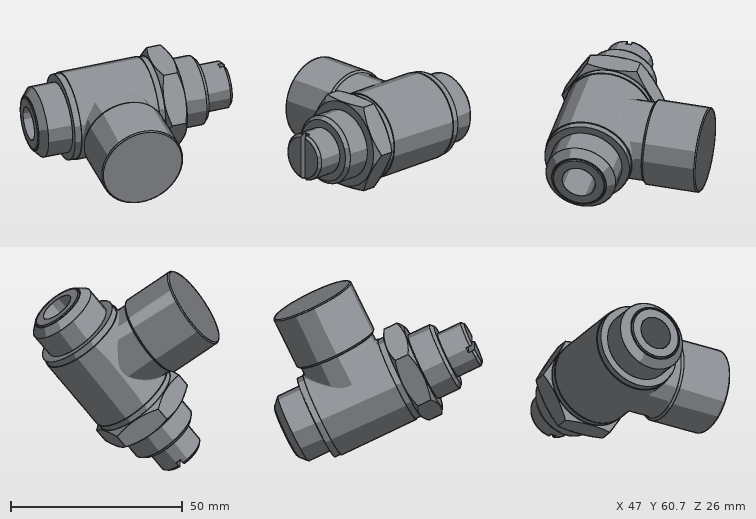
import cadquery as cq
import math

TIP_Y = -23.9
TIP_RADIUS = 10.5
TIP_CHAMFER_LENGTH = 2.4
TIP_CHAMFER_END_RADIUS = 8.25
TIP_NOSE_RADIUS = 7.9
TIP_NOSE_LENGTH = 0.3
BORE_RADIUS = 5.0
BORE_DEPTH = 24.25

BODY_DIAMETER = 26.0
BODY_RADIUS = BODY_DIAMETER / 2
BODY_HALF_LENGTH = 12.1
WASHER_RADIUS = 12.75
LOWER_WASHER_THICKNESS = 2.0
UPPER_WASHER_THICKNESS = 1.8

HEX_FLATS = BODY_DIAMETER
HEX_THICKNESS = 6.7
HEX_FACE_RADIUS = 12.85
HEX_CHAMFER_ANGLE = 30.0

SCREW_END_Y = TIP_Y + 60.7
COLLAR_RADIUS = 10.3
COLLAR_END_Y = 28.5
COLLAR_CHAMFER = 1.05
SCREW_RADIUS = 7.0
SCREW_CHAMFER = 0.8
SLOT_WIDTH = 1.6
SLOT_DEPTH = 1.95

PORT_END_X = 32.0
PORT_RADIUS = 12.5
PORT_START_X = 15.7
PORT_INNER_CHAMFER = 0.6
PORT_OUTER_CHAMFER = 0.35
NECK_RADIUS = 11.5
NECK_FILLET = 0.35
PORT_FILLET = 0.3
SELECTION_MARGIN = 0.05

HEX_START_Y = BODY_HALF_LENGTH + UPPER_WASHER_THICKNESS
HEX_END_Y = HEX_START_Y + HEX_THICKNESS


def cylinder_y(radius, start, end):
    """Cylinder on the body axis between two Y positions."""
    return cq.Workplane("XZ", origin=(0, start, 0)).circle(radius).extrude(start - end)


def cylinder_x(radius, start, end):
    """Cylinder on the port axis between two X positions."""
    return cq.Workplane("YZ", origin=(start, 0, 0)).circle(radius).extrude(end - start)


def revolve_y(profile):
    """Solid of revolution about Y from (radius, y) points."""
    return cq.Workplane("XY").polyline(profile).close().revolve(360, (0, 0, 0), (0, 1, 0))


def make_body():
    """Banjo barrel blended into the neck of the side port."""
    barrel = cylinder_y(BODY_RADIUS, -BODY_HALF_LENGTH, BODY_HALF_LENGTH)
    body = barrel.union(cylinder_x(NECK_RADIUS, 0, PORT_START_X + PORT_INNER_CHAMFER))
    reach = NECK_RADIUS + SELECTION_MARGIN
    seam = cq.selectors.BoxSelector(
        (0, -reach, -reach),
        (PORT_START_X - SELECTION_MARGIN, reach, reach),
        boundingbox=True,
    )
    body = body.edges(seam).edges("not %LINE").fillet(NECK_FILLET)
    port = cylinder_x(PORT_RADIUS, PORT_START_X, PORT_END_X)
    port = port.faces("<X").chamfer(PORT_INNER_CHAMFER)
    port = port.faces(">X").chamfer(PORT_OUTER_CHAMFER)
    body = body.union(port)
    shoulder_edge = cq.selectors.BoxSelector(
        (PORT_START_X - SELECTION_MARGIN, -reach, -reach),
        (PORT_START_X + SELECTION_MARGIN, reach, reach),
        boundingbox=True,
    )
    return body.edges(shoulder_edge).fillet(PORT_FILLET)


def make_tip():
    """Cartridge tip with a long chamfer and a small bevelled nose."""
    nose_y = TIP_Y + TIP_NOSE_LENGTH
    chamfer_y = TIP_Y + TIP_CHAMFER_LENGTH
    return revolve_y([
        (0, TIP_Y),
        (TIP_NOSE_RADIUS - TIP_NOSE_LENGTH, TIP_Y),
        (TIP_NOSE_RADIUS, nose_y),
        (TIP_CHAMFER_END_RADIUS, nose_y),
        (TIP_RADIUS, chamfer_y),
        (TIP_RADIUS, 0),
        (0, 0),
    ])


def make_hex():
    """Hexagonal nut with its corners along X, chamfered conically on both faces."""
    corner_radius = HEX_FLATS / math.sqrt(3)
    drop = (corner_radius - HEX_FACE_RADIUS) * math.tan(math.radians(HEX_CHAMFER_ANGLE))
    prism = (
        cq.Workplane("XZ", origin=(0, HEX_START_Y, 0))
        .polygon(6, 2 * corner_radius)
        .extrude(-HEX_THICKNESS)
    )
    envelope = revolve_y([
        (0, HEX_START_Y),
        (HEX_FACE_RADIUS, HEX_START_Y),
        (corner_radius, HEX_START_Y + drop),
        (corner_radius, HEX_END_Y - drop),
        (HEX_FACE_RADIUS, HEX_END_Y),
        (0, HEX_END_Y),
    ])
    return prism.intersect(envelope)


def make_screw():
    """Adjusting screw with a screwdriver slot across its end, open along Z."""
    screw = cylinder_y(SCREW_RADIUS, HEX_END_Y, SCREW_END_Y).faces(">Y").chamfer(SCREW_CHAMFER)
    slot = cq.Workplane("XY").box(SLOT_WIDTH, 2 * SLOT_DEPTH, 2 * SCREW_RADIUS)
    return screw.cut(slot.translate((0, SCREW_END_Y, 0)))


lower_washer = cylinder_y(WASHER_RADIUS, -BODY_HALF_LENGTH - LOWER_WASHER_THICKNESS, 0)
upper_washer = cylinder_y(WASHER_RADIUS, 0, HEX_START_Y)
collar = cylinder_y(COLLAR_RADIUS, HEX_START_Y, COLLAR_END_Y).faces(">Y").chamfer(COLLAR_CHAMFER)
bore = cylinder_y(BORE_RADIUS, TIP_Y, TIP_Y + BORE_DEPTH)

result = make_body()
for piece in (lower_washer, upper_washer, make_tip(), make_hex(), collar, make_screw()):
    result = result.union(piece)
result = result.cut(bore)